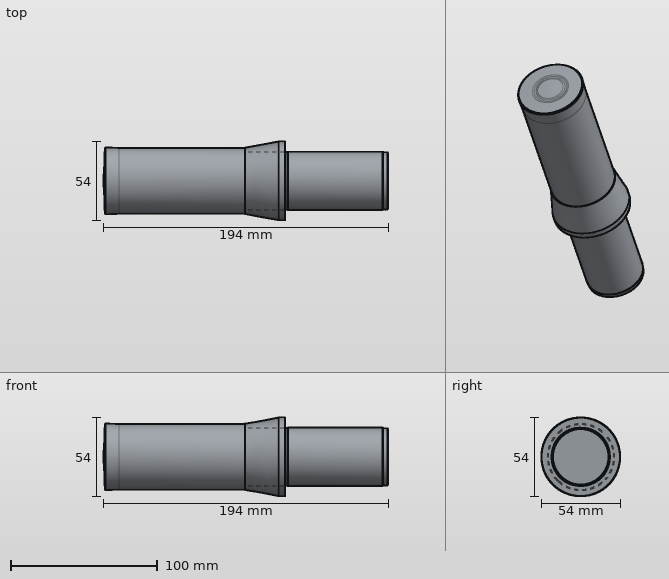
import cadquery as cq

LENGTH = 194.0
LEFT_END = -LENGTH / 2
RIGHT_END = LENGTH / 2

BARREL_RADIUS = 45.0 / 2
HEAD_RADIUS = 22.9
CROWN_HEIGHT = 1.0
RIM_CHAMFER = 0.8
HEAD_TAPER_END = LEFT_END + 10.7
BARREL_END = LEFT_END + 96.8
BARREL_CHAMFER = 0.4

GROOVE_OUTER_RADIUS = 12.6
GROOVE_INNER_RADIUS = 9.0
GROOVE_DEPTH = 0.2
GROOVE_WALL_RUN = 1.2

SHANK_RADIUS = 40.0 / 2
NECK_RADIUS = 39.5 / 2
NECK_LENGTH = 1.4
NECK_TAPER = 0.5
TIP_RADIUS = 39.2 / 2
TIP_LENGTH = 3.3
TIP_TAPER = 0.8
TIP_CHAMFER = 0.8

FLANGE_RADIUS = 54.0 / 2
FLARE_END_STEP = 0.2
FLARE_END_RADIUS = FLANGE_RADIUS - FLARE_END_STEP
FLARE_START_STEP = 0.2
FLARE_START_RADIUS = BARREL_RADIUS + FLARE_START_STEP
COLLAR_END = LEFT_END + 124.0
FLANGE_WIDTH = 5.0
FLANGE_CHAMFER = 0.4


def revolve_about_x(profile):
    return profile.close().revolve(360, (0, 0, 0), (1, 0, 0))


def crown_x(radius):
    """X of the shallow conical end face at a given radius."""
    return LEFT_END + CROWN_HEIGHT * radius / HEAD_RADIUS


def make_pin():
    rim_x = crown_x(HEAD_RADIUS)
    groove_floor_x = crown_x(GROOVE_OUTER_RADIUS) + GROOVE_DEPTH
    neck_end = COLLAR_END + NECK_LENGTH
    tip_start = RIGHT_END - TIP_LENGTH
    return revolve_about_x(
        cq.Workplane("XY")
        .moveTo(LEFT_END, 0)
        .lineTo(crown_x(GROOVE_INNER_RADIUS), GROOVE_INNER_RADIUS)
        .lineTo(groove_floor_x, GROOVE_INNER_RADIUS + GROOVE_WALL_RUN)
        .lineTo(groove_floor_x, GROOVE_OUTER_RADIUS - GROOVE_WALL_RUN)
        .lineTo(crown_x(GROOVE_OUTER_RADIUS), GROOVE_OUTER_RADIUS)
        .lineTo(rim_x, HEAD_RADIUS - RIM_CHAMFER)
        .lineTo(rim_x + RIM_CHAMFER, HEAD_RADIUS)
        .lineTo(HEAD_TAPER_END, BARREL_RADIUS)
        .lineTo(BARREL_END - BARREL_CHAMFER, BARREL_RADIUS)
        .lineTo(BARREL_END, BARREL_RADIUS - BARREL_CHAMFER)
        .lineTo(BARREL_END, NECK_RADIUS)
        .lineTo(neck_end, NECK_RADIUS)
        .lineTo(neck_end + NECK_TAPER, SHANK_RADIUS)
        .lineTo(tip_start - TIP_TAPER, SHANK_RADIUS)
        .lineTo(tip_start, TIP_RADIUS)
        .lineTo(RIGHT_END - TIP_CHAMFER, TIP_RADIUS)
        .lineTo(RIGHT_END, TIP_RADIUS - TIP_CHAMFER)
        .lineTo(RIGHT_END, 0)
    )


def make_collar():
    flange_start = COLLAR_END - FLANGE_WIDTH
    return revolve_about_x(
        cq.Workplane("XY")
        .moveTo(BARREL_END, NECK_RADIUS)
        .lineTo(BARREL_END, FLARE_START_RADIUS)
        .lineTo(flange_start, FLARE_END_RADIUS)
        .lineTo(flange_start + FLANGE_CHAMFER, FLANGE_RADIUS)
        .lineTo(COLLAR_END - FLANGE_CHAMFER, FLANGE_RADIUS)
        .lineTo(COLLAR_END, FLANGE_RADIUS - FLANGE_CHAMFER)
        .lineTo(COLLAR_END, NECK_RADIUS)
    )


pin = make_pin()
collar = make_collar()
result = cq.Compound.makeCompound([pin.val(), collar.val()])